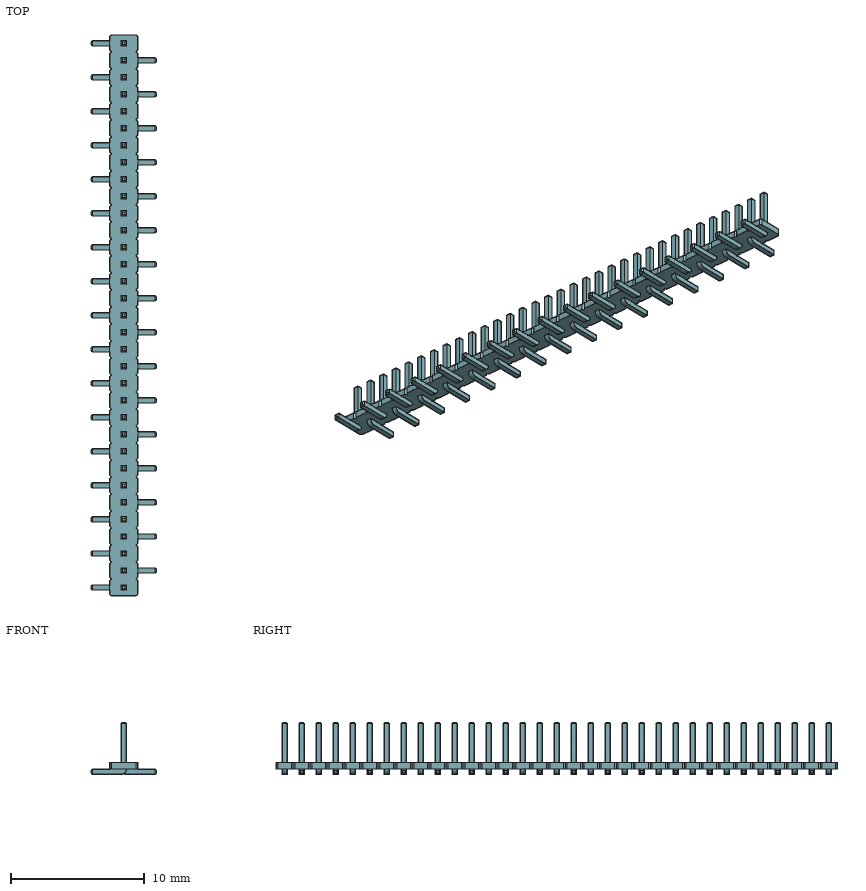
import cadquery as cq

pin_count = 33
pitch = 1.27
row_length = pin_count * pitch

wire = 0.4
pin_top = 3.9
leg_reach = 2.45
bend_radius = wire
tip_chamfer = 0.1

body_width = 2.1
body_height = 0.5
body_bottom = wire
notch_depth = pitch / 10


def strip_body():
    """Plain bar that holds all the pins."""
    return cq.Workplane("XY").box(
        body_width, row_length, body_height, centered=(True, True, False)
    ).translate((0, 0, body_bottom))


def corner_notches():
    """V notches down both long sides at each pitch boundary, bevelling the end corners too."""
    boundaries = [
        (side * body_width / 2, index * pitch - row_length / 2)
        for index in range(pin_count + 1)
        for side in (-1, 1)
    ]
    notch = (
        cq.Workplane("XY", origin=(0, 0, body_bottom))
        .polygon(4, 2 * notch_depth)
        .extrude(body_height)
        .val()
    )
    return [notch.translate((x, y, 0)) for x, y in boundaries]


def bent_pin():
    """L-shaped pin with its leg toward -X, a rounded outer bend and bevelled tips."""
    post = cq.Workplane("XY").box(wire, wire, pin_top, centered=(True, True, False))
    leg_length = leg_reach + wire / 2
    leg = cq.Workplane("XY").box(leg_length, wire, wire, centered=(False, True, False))
    pin = post.union(leg.translate((-leg_reach, 0, 0)))
    pin = pin.faces(">Z or <X").chamfer(tip_chamfer)
    outer_bend = pin.edges("|Y").edges(cq.selectors.NearestToPointSelector((wire / 2, 0, 0)))
    return outer_bend.fillet(bend_radius)


def pin_row():
    """Pins at every pitch; the first leg points to -X and the rest alternate."""
    left_pin = bent_pin()
    right_pin = left_pin.mirror("YZ")
    first_y = (pitch - row_length) / 2
    row = []
    for index in range(pin_count):
        pin = left_pin if index % 2 == 0 else right_pin
        row.append(pin.translate((0, first_y + index * pitch, 0)).val())
    return row


body = strip_body().val().cut(*corner_notches())
result = cq.Workplane("XY").newObject([body.fuse(*pin_row())])